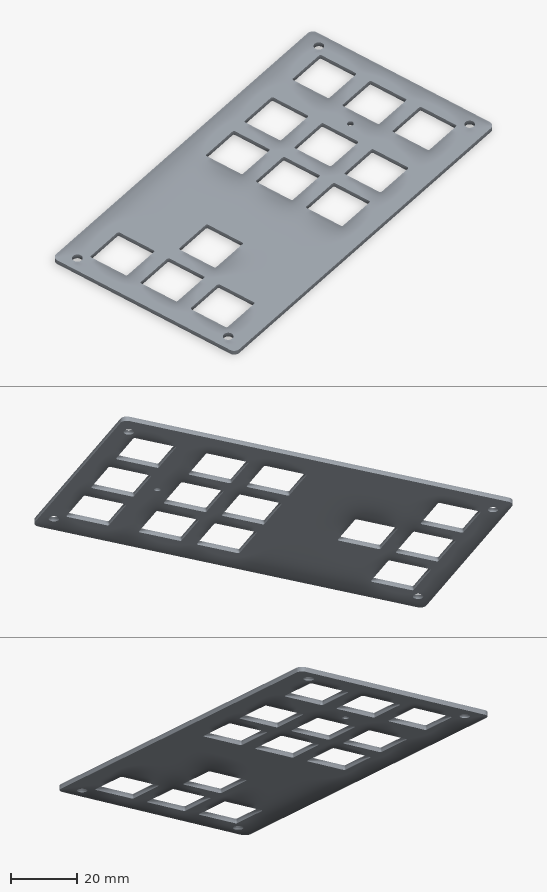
import cadquery as cq

PLATE_WIDTH = 69.75
PLATE_LENGTH = 128.59
PLATE_THICKNESS = 1.51
PLATE_CORNER_RADIUS = 2.0

KEY_PITCH = 19.05
SWITCH_SIZE = 14.0
SWITCH_CORNER_RADIUS = 0.5

TOP_ROW_GAP = 1.25 * KEY_PITCH
EMPTY_ROW_GAP = 2 * KEY_PITCH
TOP_ROW_Y = (TOP_ROW_GAP + KEY_PITCH + EMPTY_ROW_GAP + KEY_PITCH) / 2
SECOND_ROW_Y = TOP_ROW_Y - TOP_ROW_GAP
THIRD_ROW_Y = SECOND_ROW_Y - KEY_PITCH
SINGLE_KEY_Y = THIRD_ROW_Y - EMPTY_ROW_GAP
BOTTOM_ROW_Y = SINGLE_KEY_Y - KEY_PITCH
FULL_ROWS_Y = (TOP_ROW_Y, SECOND_ROW_Y, THIRD_ROW_Y, BOTTOM_ROW_Y)
COLUMNS_X = (-KEY_PITCH, 0, KEY_PITCH)

MOUNT_HOLE_DIAMETER = 3.2
MOUNT_HOLE_SPACING_X = 57.4
MOUNT_HOLE_SPACING_Y = 119.6
SMALL_HOLE_DIAMETER = 2.0
SMALL_HOLE_Y = (TOP_ROW_Y + SECOND_ROW_Y) / 2


def plate_blank():
    """Flat plate with rounded corners."""
    plate = cq.Workplane("XY").box(
        PLATE_WIDTH, PLATE_LENGTH, PLATE_THICKNESS, centered=(True, True, False)
    )
    return plate.edges("|Z").fillet(PLATE_CORNER_RADIUS)


def switch_centres():
    """Centres of the full rows of three plus the single middle key."""
    centres = [(x, y) for y in FULL_ROWS_Y for x in COLUMNS_X]
    centres.append((0, SINGLE_KEY_Y))
    return centres


def switch_cutters():
    """Square prisms with slightly rounded corners, one per switch."""
    prisms = (
        cq.Workplane("XY")
        .pushPoints(switch_centres())
        .rect(SWITCH_SIZE, SWITCH_SIZE)
        .extrude(PLATE_THICKNESS)
    )
    return prisms.edges("|Z").fillet(SWITCH_CORNER_RADIUS)


def mount_hole_cutters():
    """Cylinders for the four corner screw holes."""
    return (
        cq.Workplane("XY")
        .rect(MOUNT_HOLE_SPACING_X, MOUNT_HOLE_SPACING_Y, forConstruction=True)
        .vertices()
        .circle(MOUNT_HOLE_DIAMETER / 2)
        .extrude(PLATE_THICKNESS)
    )


def small_hole_cutter():
    """Cylinder for the small hole midway between the first two rows."""
    return (
        cq.Workplane("XY")
        .center(0, SMALL_HOLE_Y)
        .circle(SMALL_HOLE_DIAMETER / 2)
        .extrude(PLATE_THICKNESS)
    )


result = (
    plate_blank()
    .cut(switch_cutters())
    .cut(mount_hole_cutters())
    .cut(small_hole_cutter())
)